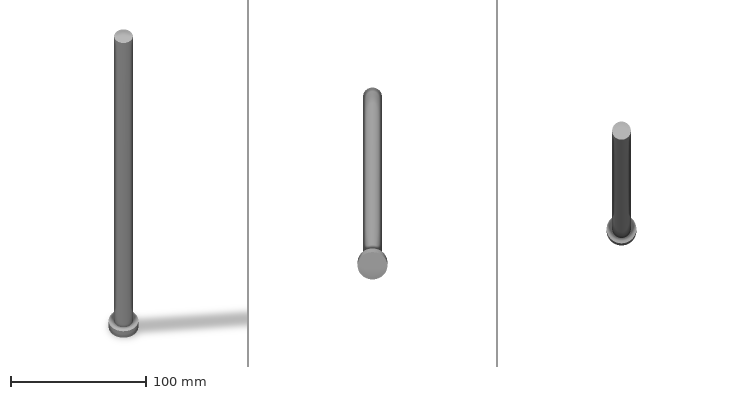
import cadquery as cq

total_length = 315.0
head_diameter = 22.0
head_thickness = 7.0
shaft_diameter = 14.0

head = cq.Workplane("XY").circle(head_diameter / 2).extrude(head_thickness)

shaft = cq.Workplane("XY").circle(shaft_diameter / 2).extrude(total_length)

result = head.union(shaft)